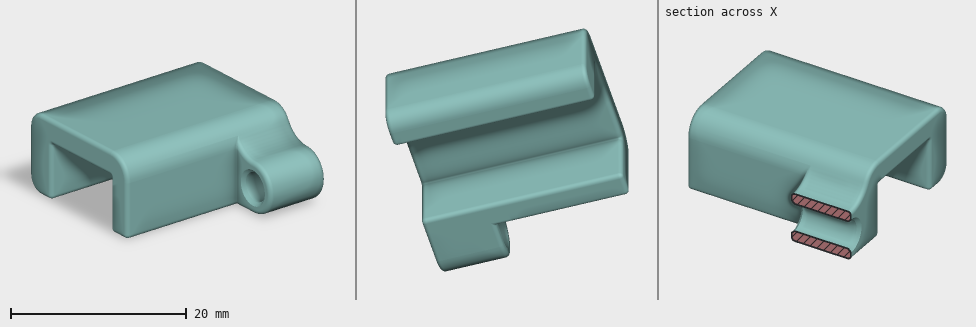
import cadquery as cq
import math

overall_length = 24.2
block_width = 18.0
block_depth = 23.85
block_height = 10.0
left_wall = 4.0
right_wall = 3.0
roof = 3.0
left_corner_radius = 2.0
right_corner_radius = 3.0
channel_corner_radius = 0.2
edge_radius = 0.5

lug_radius = 3.2
lug_depth = 8.0
lug_root_radius = 0.2
bore_diameter = 3.6
bore_chamfer = 0.4

pick_margin = 0.25

channel_width = block_width - left_wall - right_wall
channel_height = block_height - roof
lug_x = overall_length - lug_radius
lug_top = 2 * lug_radius
lug_front = block_depth - lug_depth

corner_x = block_width - right_corner_radius
corner_z = block_height - right_corner_radius


def full_depth_box(x, width, height):
    """Box of the block's depth, standing on Z = 0 with its left side at x."""
    return cq.Workplane("XY", origin=(x, 0, 0)).box(width, block_depth, height, centered=False)


def make_block():
    """Channel block with its front and feet rounded; the back is rounded with the lug in place."""
    block = full_depth_box(0, block_width, block_height)
    block = block.edges("|Y and <X").fillet(left_corner_radius)
    block = block.edges("|Y and >X and >Z").fillet(right_corner_radius)

    channel = full_depth_box(left_wall, channel_width, channel_height)
    channel = channel.edges("|Y and >Z").fillet(channel_corner_radius)
    block = block.cut(channel)

    feet = cq.selectors.BoxSelector(
        (left_wall - pick_margin, -pick_margin, -pick_margin),
        (block_width + pick_margin, block_depth + pick_margin, pick_margin),
        boundingbox=True,
    )
    block = block.edges("|Y").edges(feet).fillet(edge_radius)
    return block.faces("<Y").edges().fillet(edge_radius)


def make_lug():
    """Rounded lug whose top sweeps up to the block's right corner."""
    across = lug_x - corner_x
    drop = corner_z - lug_top
    hollow_radius = (across**2 + drop**2 - right_corner_radius**2) / (2 * (right_corner_radius + drop))
    hollow_z = lug_top + hollow_radius
    slope = math.atan2(hollow_z - corner_z, across)
    tangent_x = corner_x + right_corner_radius * math.cos(slope)
    tangent_z = corner_z + right_corner_radius * math.sin(slope)
    middle_angle = (slope + math.pi / 2) / 2
    middle_x = lug_x - hollow_radius * math.cos(middle_angle)
    middle_z = hollow_z - hollow_radius * math.sin(middle_angle)

    lug = (
        cq.Workplane("XZ", origin=(0, block_depth, 0))
        .moveTo(corner_x + edge_radius, 0)
        .lineTo(lug_x, 0)
        .threePointArc((overall_length, lug_radius), (lug_x, lug_top))
        .threePointArc((middle_x, middle_z), (tangent_x, tangent_z))
        .lineTo(corner_x + edge_radius, corner_z)
        .close()
        .extrude(lug_depth)
    )
    outside = "(%CIRCLE) or (<Z)"
    return lug.faces("<Y").edges(outside).fillet(edge_radius)


def round_lug_root(part):
    """Small hollow round where the lug's front face meets the right wall."""
    root = cq.selectors.BoxSelector(
        (block_width - pick_margin, lug_front - pick_margin, -pick_margin),
        (block_width + pick_margin, lug_front + pick_margin, block_height),
        boundingbox=True,
    )
    return part.edges("|Z").edges(root).fillet(lug_root_radius)


def make_bore():
    """Bore through the lug, widened by a chamfer at both ends."""
    radius = bore_diameter / 2
    wide = radius + bore_chamfer
    return (
        cq.Workplane("XY", origin=(lug_x, 0, lug_radius))
        .moveTo(0, lug_front)
        .lineTo(wide, lug_front)
        .lineTo(radius, lug_front + bore_chamfer)
        .lineTo(radius, block_depth - bore_chamfer)
        .lineTo(wide, block_depth)
        .lineTo(0, block_depth)
        .close()
        .revolve(360, (0, 0, 0), (0, 1, 0))
    )


part = make_block().union(make_lug())
part = round_lug_root(part)
part = part.faces(">Y").edges().fillet(edge_radius)
result = part.cut(make_bore())